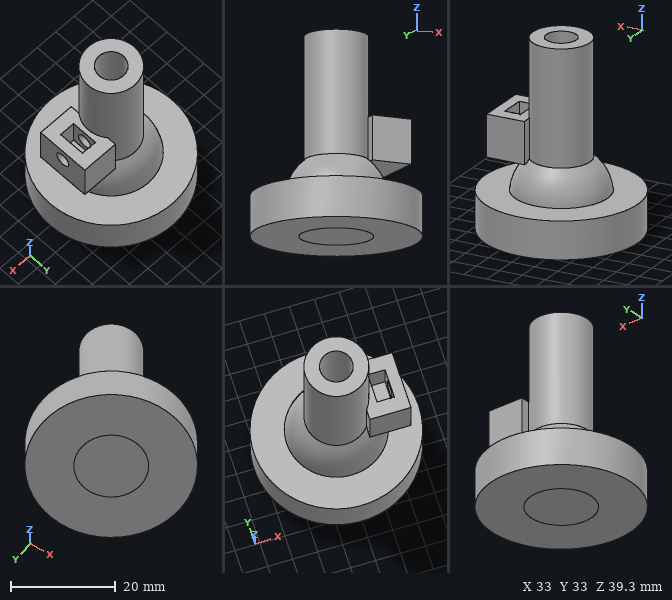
import cadquery as cq

total_height = 39.25
foot_diameter = 33.0
foot_height = 8.0

ball_diameter = 19.98
ball_center_height = 7.0

stem_diameter = 12.4
bore_diameter = 6.4

block_inner_x = 4.83
block_length = 8.25
block_width = 11.95
block_height = 8.87
block_bottom = 14.25

pocket_length = 3.45
pocket_width = 5.9
pocket_center_x = 8.95
screw_hole_diameter = 3.2
screw_hole_height = 20.1

block_outer_x = block_inner_x + block_length
block_center_x = block_inner_x + block_length / 2
block_top = block_bottom + block_height
pocket_depth = block_top - screw_hole_height + pocket_width / 2


def make_cylinder(diameter, bottom, top):
    """Vertical cylinder on the Z axis between two heights."""
    return cq.Workplane("XY").workplane(offset=bottom).circle(diameter / 2).extrude(top - bottom)


def make_ball():
    """Ball with everything below the underside of the foot removed."""
    ball = cq.Workplane("XY").sphere(ball_diameter / 2).translate((0, 0, ball_center_height))
    return ball.intersect(make_cylinder(foot_diameter, 0, total_height))


def make_block():
    """Rectangular clamp block with its nut pocket open at the top."""
    block = (
        cq.Workplane("XY")
        .box(block_length, block_width, block_height, centered=(True, True, False))
        .translate((block_center_x, 0, block_bottom))
    )
    pocket = (
        cq.Workplane("XY")
        .box(pocket_length, pocket_width, pocket_depth, centered=(True, True, False))
        .translate((pocket_center_x, 0, block_top - pocket_depth))
    )
    return block.cut(pocket)


def make_foot():
    """Round foot with a spherical socket that fits the ball."""
    return make_cylinder(foot_diameter, 0, foot_height).cut(make_ball())


def make_screw_hole():
    """Horizontal hole from the bore through the nut pocket to the outer end of the block."""
    return (
        cq.Workplane("YZ")
        .center(0, screw_hole_height)
        .circle(screw_hole_diameter / 2)
        .extrude(block_outer_x)
    )


def make_stem():
    """Stem, clamp block and ball in one piece; the bore ends on the top of the ball."""
    bore = make_cylinder(bore_diameter, ball_center_height, total_height)
    tube = make_cylinder(stem_diameter, ball_center_height, total_height)
    return tube.union(make_block()).cut(bore).cut(make_screw_hole()).union(make_ball())


foot = make_foot()
stem = make_stem()

result = cq.Compound.makeCompound([foot.val(), stem.val()])